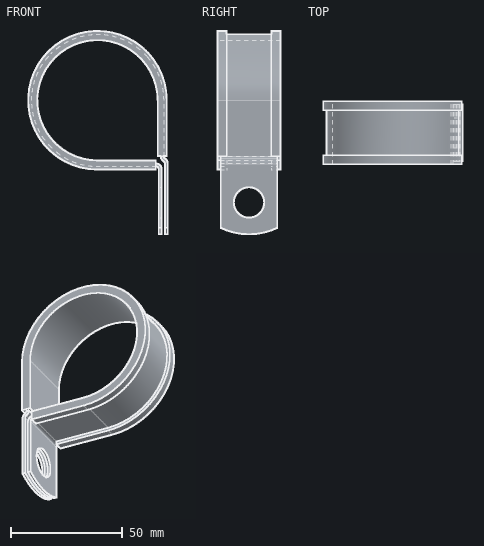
import cadquery as cq
import math

outer_radius = 31.2
inner_radius = 27.0
cushion_width = 28.5
groove_width = 20.1
upright_leg_end = -25.1
lower_leg_end = 26.3

strap_thickness = 1.4
strap_width = 25.5
strap_outer_radius = 29.75
strap_radius = strap_outer_radius - strap_thickness / 2

overall_height = 91.55
tab_bottom = outer_radius - overall_height
tab_end_sagitta = 2.9
hole_diameter = 13.55
hole_height = -46.0
tab_bend_radius = 1.9
outer_tab_x = 30.99
outer_tab_top = -28.5

diagonal = math.sqrt(0.5)


def band_outline(radius):
    """Solid teardrop outline with a square lower right corner."""
    return (
        cq.Workplane("XZ")
        .moveTo(radius, 0)
        .threePointArc((-radius * diagonal, radius * diagonal), (0, -radius))
        .lineTo(radius, -radius)
        .close()
    )


def box_below_right(left, top):
    """Block reaching from its upper left edge past the band's lower right corner."""
    size = 2 * outer_radius
    return (
        cq.Workplane("XY")
        .box(size, size, size)
        .translate((left + size / 2, 0, top - size / 2))
    )


def make_cushion():
    """Band open at its lower right corner, with a groove around its outside."""
    cushion = band_outline(outer_radius).extrude(cushion_width / 2, both=True)
    groove = (
        band_outline(outer_radius)
        .extrude(groove_width / 2, both=True)
        .cut(band_outline(strap_outer_radius).extrude(groove_width / 2, both=True))
    )
    opening = band_outline(inner_radius).extrude(cushion_width / 2, both=True)
    corner_gap = box_below_right(lower_leg_end, upright_leg_end)
    return cushion.cut(groove).cut(opening).cut(corner_gap)


def make_strap():
    """Flat strip following the band, jogged and bent down into the two tabs."""
    jog_middle = ((strap_radius + outer_tab_x) / 2, (upright_leg_end + outer_tab_top) / 2)
    inner_tab_x = lower_leg_end + tab_bend_radius
    bend_middle = (
        lower_leg_end + tab_bend_radius * diagonal,
        -strap_radius - tab_bend_radius * (1 - diagonal),
    )
    path = (
        cq.Workplane("XZ")
        .moveTo(outer_tab_x, tab_bottom)
        .lineTo(outer_tab_x, outer_tab_top)
        .tangentArcPoint(jog_middle, relative=False)
        .tangentArcPoint((strap_radius, upright_leg_end), relative=False)
        .lineTo(strap_radius, 0)
        .threePointArc((-strap_radius * diagonal, strap_radius * diagonal), (0, -strap_radius))
        .lineTo(lower_leg_end, -strap_radius)
        .threePointArc(bend_middle, (inner_tab_x, -strap_radius - tab_bend_radius))
        .lineTo(inner_tab_x, tab_bottom)
    )
    return (
        cq.Workplane("XY", origin=(outer_tab_x, 0, tab_bottom))
        .rect(strap_thickness, strap_width)
        .sweep(path)
    )


def make_tab_outline():
    """Prism along X that holds the strap and rounds off the tab ends."""
    half_width = strap_width / 2
    corner_height = tab_bottom + tab_end_sagitta
    return (
        cq.Workplane("YZ")
        .moveTo(-half_width, outer_radius)
        .lineTo(-half_width, corner_height)
        .threePointArc((0, tab_bottom), (half_width, corner_height))
        .lineTo(half_width, outer_radius)
        .close()
        .extrude(2 * outer_radius, both=True)
    )


def make_bolt_hole():
    """Cylinder along X through both tabs."""
    return (
        cq.Workplane("YZ")
        .center(0, hole_height)
        .circle(hole_diameter / 2)
        .extrude(2 * outer_radius)
    )


strap = make_strap().intersect(make_tab_outline()).cut(make_bolt_hole())
result = make_cushion().union(strap)